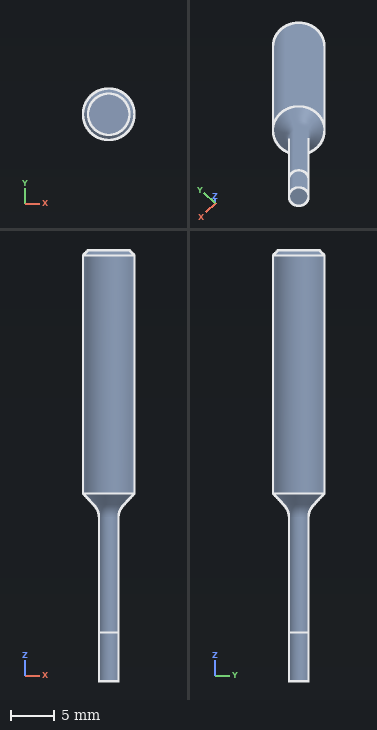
import cadquery as cq
import math

overall_length = 50.0
shank_radius = 3.0
shank_chamfer = 0.6
neck_radius = 1.15
shoulder_height = 21.8
cone_angle = math.radians(43)
flare_radius = 2.0
tip_length = 5.65

cone_foot_height = shoulder_height - (shank_radius - neck_radius) / math.tan(cone_angle)
flare_start_height = cone_foot_height - flare_radius * math.tan(cone_angle / 2)


def flare_point(angle):
    """Point (radius, height) on the flare arc, by the angle turned since leaving the neck."""
    radius = neck_radius + flare_radius * (1 - math.cos(angle))
    height = flare_start_height + flare_radius * math.sin(angle)
    return (radius, height)


def make_holder():
    """Shank, shoulder cone, flare and neck as one turned body."""
    profile = (
        cq.Workplane("XZ")
        .moveTo(0, tip_length)
        .lineTo(neck_radius, tip_length)
        .lineTo(neck_radius, flare_start_height)
        .threePointArc(flare_point(cone_angle / 2), flare_point(cone_angle))
        .lineTo(shank_radius, shoulder_height)
        .lineTo(shank_radius, overall_length - shank_chamfer)
        .lineTo(shank_radius - shank_chamfer, overall_length)
        .lineTo(0, overall_length)
        .close()
    )
    return profile.revolve(360, (0, 0), (0, 1))


def make_tip():
    """Plain cylindrical cutting tip, butted against the end of the neck."""
    return cq.Workplane("XY").circle(neck_radius).extrude(tip_length)


holder = make_holder()
tip = make_tip()

result = cq.Compound.makeCompound([holder.val(), tip.val()])